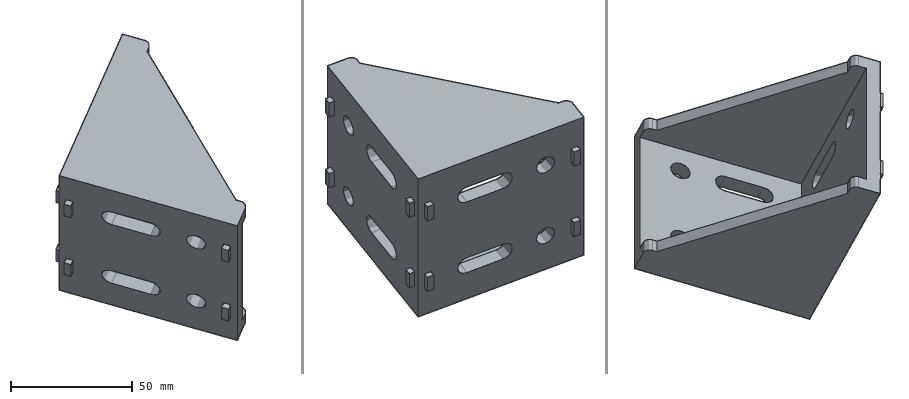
import cadquery as cq

leg_length = 78.0
wall_thickness = 6.2
end_height = 12.55
end_radius = 3.0
end_land = 5.0
gusset_thickness = 6.2

hole_diameter = 8.45
hole_position = 60.0
slot_length = 25.5
slot_position = 31.5
row_spacing = 39.9

tab_width = 3.05
tab_height = 8.0
tab_depth = 2.5
tab_inset = 3.0

row_heights = [
    leg_length / 2 - row_spacing / 2,
    leg_length / 2 + row_spacing / 2,
]
tab_positions = [
    tab_inset + tab_width / 2,
    leg_length - tab_inset - tab_width / 2,
]


def make_gusset_block():
    """Full-height prism with the bracket's outer outline."""
    slope_start = leg_length - end_land
    return (
        cq.Workplane("XY")
        .moveTo(0, 0)
        .lineTo(leg_length, 0)
        .lineTo(leg_length, end_height - end_radius)
        .radiusArc((leg_length - end_radius, end_height), -end_radius)
        .lineTo(slope_start, end_height)
        .lineTo(end_height, slope_start)
        .lineTo(end_height, leg_length - end_radius)
        .radiusArc((end_height - end_radius, leg_length), -end_radius)
        .lineTo(0, leg_length)
        .close()
        .extrude(leg_length)
    )


def make_cavity():
    """Open space between the two walls and the two gussets."""
    cavity_side = leg_length - wall_thickness
    cavity_height = leg_length - 2 * gusset_thickness
    return cq.Workplane("XY").box(
        cavity_side, cavity_side, cavity_height, centered=False
    ).translate((wall_thickness, wall_thickness, gusset_thickness))


def mirror_to_other_leg(feature):
    """Swap X and Y, carrying a feature of the front leg to the side leg."""
    return feature.mirror("YZ").rotate((0, 0, 0), (0, 0, 1), -90)


def make_leg_cutters():
    """Round holes and slots through the front leg."""
    holes = (
        cq.Workplane("XZ")
        .pushPoints([(hole_position, z) for z in row_heights])
        .circle(hole_diameter / 2)
        .extrude(-wall_thickness)
    )
    slots = (
        cq.Workplane("XZ")
        .pushPoints([(slot_position, z) for z in row_heights])
        .slot2D(slot_length, hole_diameter)
        .extrude(-wall_thickness)
    )
    return holes.add(slots).combine()


def make_leg_tabs():
    """Locating tabs standing out from the front face."""
    return (
        cq.Workplane("XZ")
        .pushPoints([(x, z) for x in tab_positions for z in row_heights])
        .rect(tab_width, tab_height)
        .extrude(tab_depth)
    )


result = make_gusset_block().cut(make_cavity())

cutters = make_leg_cutters()
tabs = make_leg_tabs()
for leg_cutters in (cutters, mirror_to_other_leg(cutters)):
    result = result.cut(leg_cutters)
for leg_tabs in (tabs, mirror_to_other_leg(tabs)):
    result = result.union(leg_tabs)